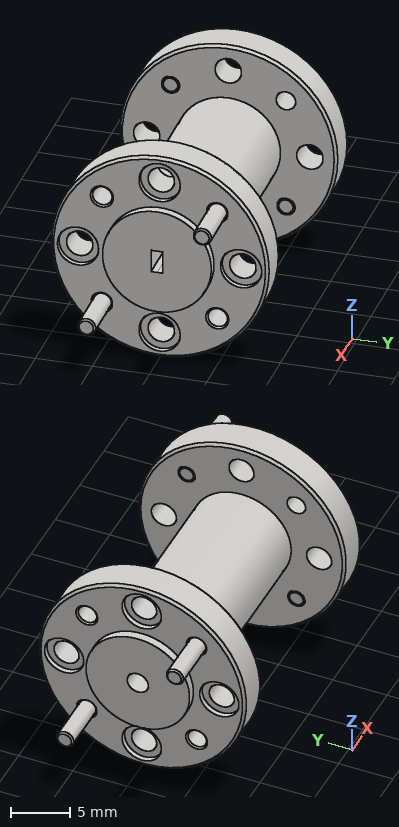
import cadquery as cq
import math

body_length = 25.47
tube_diameter = 9.14

flange_diameter = 19.05
flange_thickness = 3.3
flange_edge_chamfer = 0.25
boss_diameter = 9.525
boss_height = 0.8
flange_face = body_length / 2 - boss_height
flange_back = flange_face - flange_thickness

bolt_circle_radius = 14.288 / 2
diagonal_offset = bolt_circle_radius * math.sqrt(0.5)
screw_hole_diameter = 2.3
counterbore_diameter = 3.6
counterbore_depth = 0.5
socket_diameter = 1.7
hole_chamfer = 0.15

round_port_diameter = 1.95
rectangular_port_width = 1.016
rectangular_port_height = 2.032
round_bore_length = body_length / 2

pin_diameter = 1.56
pin_chamfer = 0.15
pin_projection = 4.6
long_pin_extra = 0.08


def disc(diameter, start, end, y=0.0, z=0.0):
    """Cylinder along X from start to end, centred at (y, z)."""
    return cq.Workplane("YZ", origin=(start, y, z)).circle(diameter / 2).extrude(end - start)


def countersunk_hole(side, diameter, y, z):
    """Cutter through one flange, chamfered where it meets the outer face."""
    face = side * flange_face
    axis = cq.Vector(-side, 0, 0)
    mouth = cq.Solid.makeCone(
        diameter / 2 + hole_chamfer, diameter / 2, hole_chamfer, pnt=cq.Vector(face, y, z), dir=axis
    )
    return disc(diameter, side * flange_back, face, y, z).union(cq.Workplane(mouth))


def pin_places(side):
    """Diagonal (y, z) places of the two pins on the flange at this end."""
    return [(y_sign * diagonal_offset, side * y_sign * diagonal_offset) for y_sign in (1, -1)]


def make_flange(side):
    """Drilled flange disc with its boss; side is -1 or +1 along X."""
    face = side * flange_face
    back = side * flange_back
    flange = disc(flange_diameter, back, face).edges().chamfer(flange_edge_chamfer)
    flange = flange.union(disc(boss_diameter, back, side * body_length / 2))

    counterbore_floor = face - side * counterbore_depth
    for quarter in range(4):
        angle = math.radians(90 * quarter)
        y = bolt_circle_radius * math.cos(angle)
        z = bolt_circle_radius * math.sin(angle)
        flange = flange.cut(disc(screw_hole_diameter, back, face, y, z))
        flange = flange.cut(disc(counterbore_diameter, counterbore_floor, face, y, z))

    for y, z in pin_places(side):
        flange = flange.cut(countersunk_hole(side, pin_diameter, y, z))
    for y, z in pin_places(-side):
        flange = flange.cut(countersunk_hole(side, socket_diameter, y, z))
    return flange


def round_port_section(x):
    """Circular section at x, drawn as two arcs that meet at the top and bottom."""
    radius = round_port_diameter / 2
    return (
        cq.Workplane("YZ", origin=(x, 0, 0))
        .moveTo(0, -radius)
        .threePointArc((radius, 0), (0, radius))
        .threePointArc((-radius, 0), (0, -radius))
        .close()
    )


def make_passage():
    """Straight round bore followed by a loft to the rectangular port."""
    start = -body_length / 2
    bore = round_port_section(start).extrude(round_bore_length)
    transition = (
        round_port_section(start + round_bore_length)
        .workplane(offset=body_length - round_bore_length)
        .rect(rectangular_port_width, rectangular_port_height)
        .loft(ruled=True)
    )
    return bore.union(transition)


def make_waveguide():
    tube = disc(tube_diameter, -flange_back, flange_back)
    return tube.union(make_flange(-1)).union(make_flange(1)).cut(make_passage())


def make_pin(side, y, z, projection):
    """Pin flush with the flange back, chamfered at both ends."""
    tip = side * (flange_face + projection)
    return disc(pin_diameter, side * flange_back, tip, y, z).faces("<X or >X").chamfer(pin_chamfer)


waveguide = make_waveguide()

pins = []
for side in (-1, 1):
    for y, z in pin_places(side):
        is_long_pin = side > 0 and y < 0
        projection = pin_projection + (long_pin_extra if is_long_pin else 0)
        pins.append(make_pin(side, y, z, projection).val())

result = cq.Compound.makeCompound([waveguide.val(), *pins])